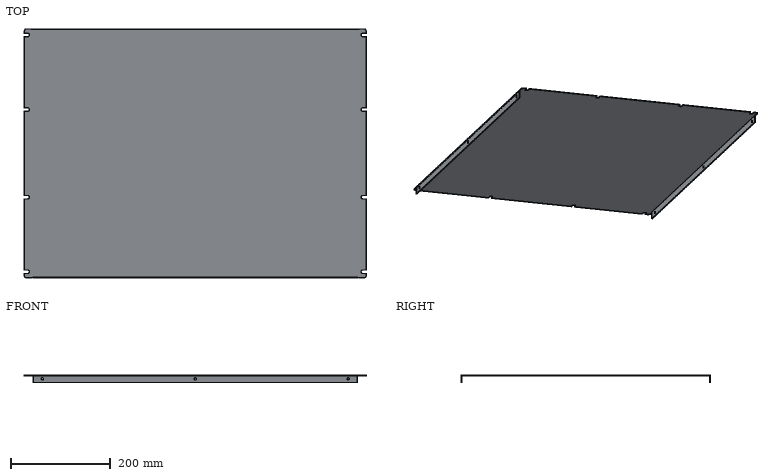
import cadquery as cq

panel_length = 686.5
panel_width = 500.0
overall_height = 15.0
sheet_thickness = 1.5
corner_radius = 5.0

flange_length = 651.0
relief_width = 3.5
relief_depth = 1.0

notch_depth = 10.0
notch_width = 6.5
corner_notch_inset = 12.5
inner_notch_offset = 88.0

hole_diameter = 4.2
hole_offset = 307.0
hole_drop = 7.5

half_length = panel_length / 2
half_width = panel_width / 2
panel_bottom = overall_height - sheet_thickness


def make_panel():
    """Flat sheet with rounded corners."""
    return (
        cq.Workplane("XY", origin=(0, 0, panel_bottom))
        .rect(panel_length, panel_width)
        .extrude(sheet_thickness)
        .edges("|Z")
        .fillet(corner_radius)
    )


def make_flange(side):
    """Flange folded down along the long edge on the given Y side (-1 or 1)."""
    center_y = side * (half_width - sheet_thickness / 2)
    return (
        cq.Workplane("XY", origin=(0, center_y, 0))
        .rect(flange_length, sheet_thickness)
        .extrude(overall_height)
    )


def make_edge_notches():
    """Round-ended notches open to both short edges; half of each slot lies off the panel."""
    corner_notch_offset = half_width - corner_notch_inset
    centers = [
        (x, y)
        for x in (-half_length, half_length)
        for y in (-corner_notch_offset, -inner_notch_offset, inner_notch_offset, corner_notch_offset)
    ]
    return (
        cq.Workplane("XY", origin=(0, 0, panel_bottom))
        .pushPoints(centers)
        .slot2D(2 * notch_depth, notch_width)
        .extrude(sheet_thickness)
    )


def make_bend_reliefs():
    """Small rectangular cuts in the long edges just beyond the flange ends."""
    relief_x = (flange_length + relief_width) / 2
    centers = [(x, y) for x in (-relief_x, relief_x) for y in (-half_width, half_width)]
    return (
        cq.Workplane("XY", origin=(0, 0, panel_bottom))
        .pushPoints(centers)
        .rect(relief_width, 2 * relief_depth)
        .extrude(sheet_thickness)
    )


def make_flange_holes():
    """Three holes through both flanges, spread along X."""
    return (
        cq.Workplane("XZ", origin=(0, 0, overall_height - hole_drop))
        .pushPoints([(x, 0) for x in (-hole_offset, 0, hole_offset)])
        .circle(hole_diameter / 2)
        .extrude(half_width, both=True)
    )


result = make_panel()
for side in (-1, 1):
    result = result.union(make_flange(side))

result = result.cut(make_edge_notches()).cut(make_bend_reliefs()).cut(make_flange_holes())